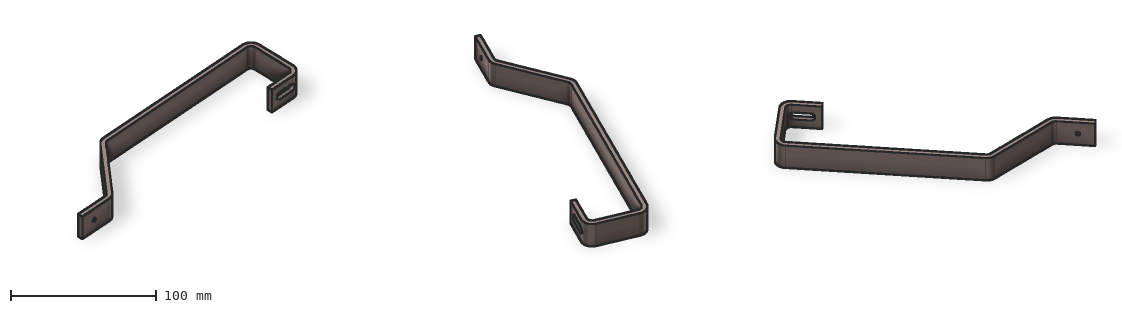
import cadquery as cq
import math

width = 48.0
length = 217.0
height = 20.0

thickness = 0.2 * height
inner_radius = thickness
middle_radius = inner_radius + thickness / 2

hook_leg = 29.0
lower_leg = 26.7
jog_angle = math.radians(48.4)

pin_diameter = 2.8
pin_from_end = 12.0
slot_length = 18.0
slot_width = 6.0
slot_from_tip = 13.9

left_x = thickness / 2
right_x = width - thickness / 2
closed_y = length - thickness / 2
hook_tip_y = length - hook_leg
lower_corner_y = lower_leg + middle_radius * math.tan(jog_angle / 2)
upper_corner_y = lower_corner_y + (right_x - left_x) / math.tan(jog_angle)

corners = [
    cq.Vector(right_x, 0),
    cq.Vector(right_x, lower_corner_y),
    cq.Vector(left_x, upper_corner_y),
    cq.Vector(left_x, closed_y),
    cq.Vector(right_x, closed_y),
    cq.Vector(right_x, hook_tip_y),
]


def rounded_path(points, radius):
    """Straight runs between the points, with a tangent arc at every inner corner."""
    path = cq.Workplane("XY").moveTo(points[0].x, points[0].y)
    for before, corner, after in zip(points, points[1:], points[2:]):
        incoming = (corner - before).normalized()
        outgoing = (after - corner).normalized()
        setback = radius * math.tan(incoming.getAngle(outgoing) / 2)
        bend_start = corner - incoming * setback
        bend_end = corner + outgoing * setback
        path = path.lineTo(bend_start.x, bend_start.y)
        path = path.tangentArcPoint((bend_end.x, bend_end.y), relative=False)
    return path.lineTo(points[-1].x, points[-1].y)


def bent_bar():
    """Rectangular bar section swept along the centre line."""
    section = cq.Workplane("XZ").center(right_x, 0).rect(thickness, height)
    return section.sweep(rounded_path(corners, middle_radius))


def leg_face(y):
    """Plane on the inner face of the right-hand legs, at the given Y."""
    return cq.Workplane("YZ", origin=(width - thickness, y, 0))


pin_hole = leg_face(pin_from_end).circle(pin_diameter / 2).extrude(thickness)
hook_slot = leg_face(hook_tip_y + slot_from_tip).slot2D(slot_length, slot_width).extrude(thickness)

result = bent_bar().cut(pin_hole).cut(hook_slot)